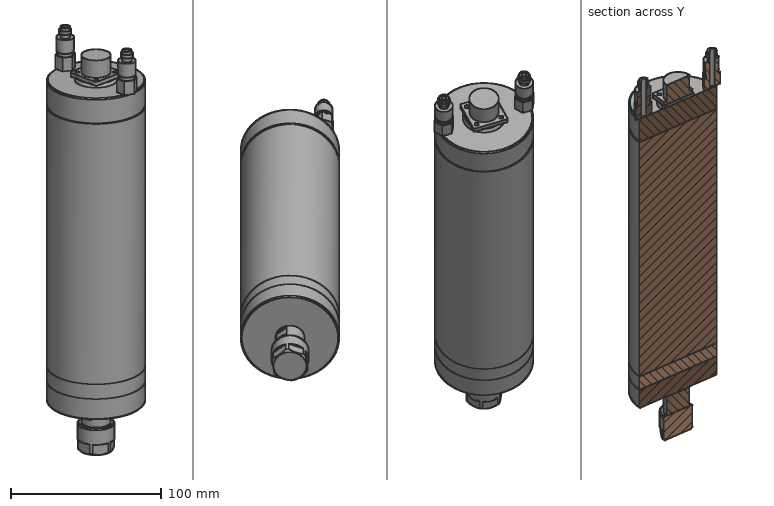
import cadquery as cq
import math

NUT_FLATS_TOP = 8.0
NUT_TOP = 19.5
NOSE_BOTTOM = 34.7
NOSE_TOP = 49.8
RING_TOP = 60.5
TUBE_TOP = 248.5
CAP_TOP = 267.0
SEAL_TOP = 269.5
FLANGE_TOP = 272.5
PLUG_TOP = 284.8
OVERALL_HEIGHT = 296.7

OVERALL_WIDTH = 71.5

HEX_SIDES = 6

HOUSING_RADIUS = 33.0
HOUSING_CHAMFER = 1.0
CAP_JOINT_CHAMFER = 0.5

NUT_RADIUS = 12.5
NUT_ACROSS_FLATS = 22.5
NUT_TIP_CHAMFER = 1.5
NUT_TOP_CHAMFER = 1.0
SHAFT_RADIUS = 9.8
SHAFT_ACROSS_FLATS = 17.5
SHAFT_FLAT_BOTTOM = 24.5
SHAFT_FLAT_TOP = 33.0

SEAL_BOTTOM_RADIUS = 14.2
SEAL_TOP_RADIUS = 13.0
FLANGE_SIDE = 24.5
FLANGE_CORNER_RADIUS = 1.2
FLANGE_HOLE_SPACING = 17.8
FLANGE_HOLE_DIAMETER = 2.7
PLUG_RADIUS = 9.8

FITTING_ACROSS_FLATS = 12.0
FITTING_HEX_CORNER_RADIUS = FITTING_ACROSS_FLATS / 2 / math.cos(math.pi / HEX_SIDES)
FITTING_OFFSET = OVERALL_WIDTH / 2 - FITTING_HEX_CORNER_RADIUS
FITTING_HEX_TOP = 276.8
FITTING_NECK_RADIUS = 5.3
COLLAR_BOTTOM = 279.2
COLLAR_TOP = 289.3
COLLAR_RADIUS = 6.0
STEM_RADIUS = 3.3
BARB_BOTTOM = 292.2
BARB_TOP = 294.5
BARB_RADIUS = 4.2
BORE_RADIUS = 1.8


def cylinder(radius, bottom, top):
    """Round bar on the Z axis between two heights."""
    return cq.Workplane("XY").workplane(offset=bottom).circle(radius).extrude(top - bottom)


def hexagon(across_flats, bottom, top):
    """Hexagonal bar with two corners on the X axis."""
    corner_diameter = across_flats / math.cos(math.pi / HEX_SIDES)
    return cq.Workplane("XY").workplane(offset=bottom).polygon(HEX_SIDES, corner_diameter).extrude(top - bottom)


def make_collet_nut():
    nut = cylinder(NUT_RADIUS, 0, NUT_TOP).faces(">Z").chamfer(NUT_TOP_CHAMFER)
    nut = nut.faces("<Z").chamfer(NUT_TIP_CHAMFER)
    hexagonal_end = hexagon(NUT_ACROSS_FLATS, 0, NUT_FLATS_TOP)
    round_end = cylinder(NUT_RADIUS, NUT_FLATS_TOP, NUT_TOP)
    return nut.intersect(hexagonal_end.union(round_end))


def make_shaft():
    shaft = cylinder(SHAFT_RADIUS, NUT_TOP, NOSE_BOTTOM)
    flat_height = SHAFT_FLAT_TOP - SHAFT_FLAT_BOTTOM
    cut_depth = SHAFT_RADIUS
    for side in (-1, 1):
        cutter = cq.Workplane("XY").box(2 * SHAFT_RADIUS, cut_depth, flat_height).translate(
            (0, side * (SHAFT_ACROSS_FLATS + cut_depth) / 2, SHAFT_FLAT_BOTTOM + flat_height / 2)
        )
        shaft = shaft.cut(cutter)
    return shaft


def make_nose():
    return cylinder(HOUSING_RADIUS, NOSE_BOTTOM, NOSE_TOP).faces("<Z").chamfer(HOUSING_CHAMFER)


def make_ring():
    return cylinder(HOUSING_RADIUS, NOSE_TOP, RING_TOP)


def make_tube():
    return cylinder(HOUSING_RADIUS, RING_TOP, TUBE_TOP)


def make_cap():
    cap = cylinder(HOUSING_RADIUS, TUBE_TOP, CAP_TOP).faces(">Z").chamfer(HOUSING_CHAMFER)
    return cap.faces("<Z").chamfer(CAP_JOINT_CHAMFER)


def make_seal():
    disc = cq.Workplane("XY").workplane(offset=CAP_TOP).circle(SEAL_BOTTOM_RADIUS)
    return disc.workplane(offset=SEAL_TOP - CAP_TOP).circle(SEAL_TOP_RADIUS).loft()


def make_connector():
    flange = cq.Workplane("XY").workplane(offset=SEAL_TOP).rect(FLANGE_SIDE, FLANGE_SIDE)
    flange = flange.extrude(FLANGE_TOP - SEAL_TOP).edges("|Z").fillet(FLANGE_CORNER_RADIUS)
    holes = flange.faces(">Z").workplane().rect(
        FLANGE_HOLE_SPACING, FLANGE_HOLE_SPACING, forConstruction=True
    ).vertices()
    return holes.hole(FLANGE_HOLE_DIAMETER).union(cylinder(PLUG_RADIUS, FLANGE_TOP, PLUG_TOP))


def make_fitting(x):
    fitting = hexagon(FITTING_ACROSS_FLATS, CAP_TOP, FITTING_HEX_TOP)
    for radius, bottom, top in (
        (FITTING_NECK_RADIUS, FITTING_HEX_TOP, COLLAR_BOTTOM),
        (COLLAR_RADIUS, COLLAR_BOTTOM, COLLAR_TOP),
        (STEM_RADIUS, COLLAR_TOP, OVERALL_HEIGHT),
        (BARB_RADIUS, BARB_BOTTOM, BARB_TOP),
    ):
        fitting = fitting.union(cylinder(radius, bottom, top))
    bore = cylinder(BORE_RADIUS, CAP_TOP, OVERALL_HEIGHT)
    return fitting.cut(bore).translate((x, 0, 0))


fittings = [make_fitting(side * FITTING_OFFSET) for side in (-1, 1)]

result = cq.Compound.makeCompound([
    make_collet_nut().val(),
    make_shaft().val(),
    make_nose().val(),
    make_ring().val(),
    make_tube().val(),
    make_cap().val(),
    make_seal().val(),
    make_connector().val(),
    *[fitting.val() for fitting in fittings],
])